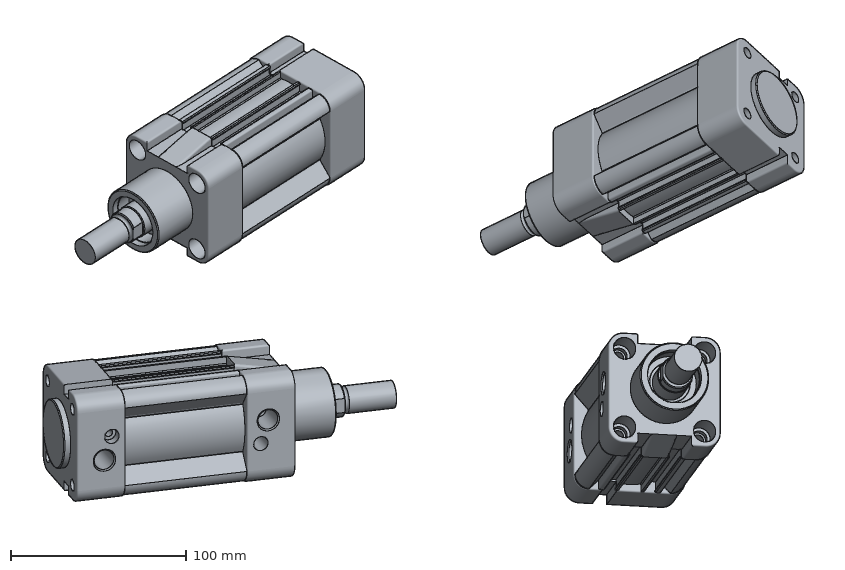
import cadquery as cq


head_size = 65.0
head_length = 28.8
head_corner = 8.7
head_edge_fillet = 1.0
body_length = 130.5
tube_inset = 0.5
tube_front = head_length
tube_rear = body_length - head_length
half_head = head_size / 2
half_tube = half_head - tube_inset
flat_half = half_head - head_corner

collar_radius = 40.0 / 2
front_collar_length = 28.6
rear_collar_length = 4.0
collar_chamfer = 0.6

barrel_radius = 28.0
side_recess_half = 14.6
side_recess_depth = 8.0
side_recess_step_half = 15.5
side_recess_step = 0.5

slot_center = 11.5
slot_mouth = 5.9
slot_width = 7.1
slot_floor = 25.5
slot_lip_bottom = 30.9
slot_mouth_flare = 0.6
rail_inner = 6.7
rail_base_chamfer = 0.8
rail_base_top = 28.0
rail_outer = 18.3
rail_edge_radius = 1.2

pocket_floor = 26.5
pocket_half = 15.6
pocket_edge_radius = 1.2
rear_slot_edge = 7.7
wedge_half = 7.7
wedge_edge_radius = 1.5

screw_spacing = 46.5
screw_offset = screw_spacing / 2
screw_hole_radius = 6.7 / 2
screw_step_radius = 9.1 / 2
screw_step_depth = 20.3
screw_bore_radius = 12.8 / 2
screw_bore_depth = 16.2

port_from_end = 16.2
port_height = 6.5
port_radius = 5.9
port_chamfer = 0.8
needle_from_end = 20.7
needle_height = 7.5
needle_radius = 4.3
needle_screw_depth = 6.0
needle_bore_radius = 2.2

chamber_radius = 12.4
chamber_front = 6.0
chamber_rear = 125.9
mouth_radius = 15.6
mouth_depth = 4.0
recess_radius = 15.2
recess_depth = 13.0
seal_radius = 11.8
seal_depth = 2.0

rod_radius = 10.0
rod_end = tube_rear
rod_shoulder = 29.8
flats_end = 37.5
thread_start = 40.2
rod_tip = 68.5
shank_radius = 9.5
rod_chamfer = 0.6
across_flats = 17.0
neck_radius = 7.0
thread_radius = 16.0 / 2


def cylinder(radius, start, end):
    """Cylinder on the Y axis from Y = start to Y = end."""
    return cq.Workplane("XZ", origin=(0, start, 0)).circle(radius).extrude(start - end)


def prism(points, start, end):
    """XZ outline extruded from Y = start to Y = end."""
    return cq.Workplane("XZ", origin=(0, start, 0)).polyline(points).close().extrude(start - end)


def above_and_below(shape):
    """The shape together with its mirror image below Z = 0."""
    return shape.union(shape.mirror("XY"))


def side_hole(radius, depth, y, z):
    """Blind hole from the -X face of a head."""
    return cq.Workplane("YZ", origin=(-half_head, y, z)).circle(radius).extrude(depth)


def make_head(start):
    head = (
        cq.Workplane("XY")
        .box(head_size, head_length, head_size)
        .translate((0, start + head_length / 2, 0))
        .edges("|Y")
        .fillet(head_corner)
    )
    return head.faces("<Y or >Y").edges().fillet(head_edge_fillet)


def pocket_profile(right, start):
    """Pocket outline from its rounded left edge to a plain wall at X = right."""
    return (
        cq.Workplane("XZ", origin=(0, start, 0))
        .moveTo(right, half_head)
        .lineTo(right, pocket_floor)
        .lineTo(-pocket_half, pocket_floor)
        .lineTo(-pocket_half, half_head - pocket_edge_radius)
        .radiusArc((-pocket_half - pocket_edge_radius, half_head), -pocket_edge_radius)
        .close()
        .extrude(-head_length)
    )


def wedge():
    """Round-edged bar that rises from the pocket floor at Y = 0 to the full head height."""
    height = half_head - pocket_floor
    side_top = half_head - wedge_edge_radius
    top_half = wedge_half - wedge_edge_radius
    outline = (
        cq.Workplane("XZ", origin=(0, head_length, 0))
        .moveTo(-wedge_half, pocket_floor - height)
        .lineTo(-wedge_half, side_top)
        .radiusArc((-top_half, half_head), wedge_edge_radius)
        .lineTo(top_half, half_head)
        .radiusArc((wedge_half, side_top), wedge_edge_radius)
        .lineTo(wedge_half, pocket_floor - height)
        .close()
    )
    bar = cq.Solid.extrudeLinear(outline.val(), [], cq.Vector(0, -head_length, -height))
    return cq.Workplane("XY").add(bar)


def front_head_pocket():
    """Wide pocket that leaves a sloping wedge standing in its middle."""
    left = pocket_profile(0, 0)
    pocket = left.union(left.mirror("YZ")).cut(wedge())
    return above_and_below(pocket)


def rear_head_slot():
    return above_and_below(pocket_profile(-rear_slot_edge, tube_rear))


def side_recess():
    """Flute in the -X side of the tube, with the round barrel as its floor."""
    inner = -half_tube + side_recess_depth
    outline = [
        (-half_tube, flat_half),
        (inner - side_recess_step, side_recess_step_half),
        (inner, side_recess_half),
        (inner, -side_recess_half),
        (inner - side_recess_step, -side_recess_step_half),
        (-half_tube, -flat_half),
    ]
    recess = prism(outline, tube_front, tube_rear)
    return recess.cut(cylinder(barrel_radius, tube_front, tube_rear))


def middle_recess():
    """Flute between the two slot rails, with the round barrel as its floor."""
    half_floor = rail_inner - rail_base_chamfer
    outline = [
        (-half_floor, rail_base_top - rail_base_chamfer),
        (half_floor, rail_base_top - rail_base_chamfer),
        (rail_inner, rail_base_top),
        (rail_inner, half_tube),
        (-rail_inner, half_tube),
        (-rail_inner, rail_base_top),
    ]
    recess = prism(outline, tube_front, tube_rear)
    return recess.cut(cylinder(barrel_radius, tube_front, tube_rear))


def sensor_slot():
    """T-shaped sensor slot with a flared mouth, on the +X half of the top."""
    half_width = slot_width / 2
    half_mouth = slot_mouth / 2
    right_side = [
        (half_width, slot_floor),
        (half_width, slot_lip_bottom),
        (half_mouth, slot_lip_bottom),
        (half_mouth, half_tube - slot_mouth_flare),
        (half_mouth + slot_mouth_flare, half_tube),
    ]
    left_side = [(-x, z) for x, z in reversed(right_side)]
    outline = [(slot_center + x, z) for x, z in right_side + left_side]
    return prism(outline, tube_front, tube_rear)


def outer_flute():
    """Sloping flute outside the sensor slot; it rounds the edge of the slot rail."""
    return (
        cq.Workplane("XZ", origin=(0, tube_front, 0))
        .moveTo(rail_outer - rail_edge_radius, half_tube)
        .radiusArc((rail_outer, half_tube - rail_edge_radius), rail_edge_radius)
        .lineTo(rail_outer, half_tube - (flat_half - rail_outer))
        .lineTo(flat_half, half_tube)
        .close()
        .extrude(tube_front - tube_rear)
    )


def make_tube():
    length = tube_rear - tube_front
    tube = (
        cq.Workplane("XY")
        .box(2 * half_tube, length, 2 * half_tube)
        .translate((0, tube_front + length / 2, 0))
        .edges("|Y")
        .fillet(head_corner - tube_inset)
    )
    recess = side_recess()
    tube = tube.cut(recess).cut(recess.mirror("YZ"))
    tube = tube.cut(above_and_below(middle_recess()))
    for groove in (sensor_slot(), outer_flute()):
        tube = tube.cut(above_and_below(groove))
        tube = tube.cut(above_and_below(groove.mirror("YZ")))
    return tube


def screw_holes():
    """Stepped through holes at the four corners."""
    hole = cylinder(screw_hole_radius, 0, body_length)
    hole = hole.union(cylinder(screw_step_radius, 0, screw_step_depth))
    hole = hole.union(cylinder(screw_bore_radius, 0, screw_bore_depth))
    holes = cq.Workplane("XY")
    for x in (-screw_offset, screw_offset):
        for z in (-screw_offset, screw_offset):
            holes = holes.add(hole.translate((x, 0, z)))
    return holes.combine()


def port(y, z):
    """Air port with a chamfered mouth, running into the chamber."""
    hole = side_hole(port_radius, half_head, y, z)
    mouth = (
        cq.Workplane("YZ", origin=(-half_head, y, z))
        .circle(port_radius + port_chamfer)
        .workplane(offset=port_chamfer)
        .circle(port_radius)
        .loft()
    )
    return hole.union(mouth)


def ports():
    front_needle = side_hole(needle_radius, half_head, needle_from_end, -needle_height)
    rear_needle_y = body_length - needle_from_end
    rear_needle = side_hole(needle_radius, needle_screw_depth, rear_needle_y, needle_height)
    needle_bore = side_hole(needle_bore_radius, half_head, rear_needle_y, needle_height)
    rear_needle = rear_needle.union(needle_bore)
    return (
        port(port_from_end, port_height)
        .union(port(body_length - port_from_end, -port_height))
        .union(front_needle)
        .union(rear_needle)
    )


def bore():
    """Rod gland, seal recesses and the chamber behind them."""
    mouth = -front_collar_length
    floor = mouth + recess_depth
    return (
        cylinder(mouth_radius, mouth, mouth + mouth_depth)
        .union(cylinder(recess_radius, mouth, floor))
        .union(cylinder(seal_radius, mouth, floor + seal_depth))
        .union(cylinder(rod_radius, mouth, chamber_front))
        .union(cylinder(chamber_radius, chamber_front, chamber_rear))
    )


def make_housing():
    front_collar = cylinder(collar_radius, -front_collar_length, head_length)
    front_collar = front_collar.faces("<Y").chamfer(collar_chamfer)
    rear_collar = cylinder(collar_radius, tube_rear, body_length + rear_collar_length)
    rear_collar = rear_collar.faces(">Y").chamfer(collar_chamfer)
    front_head = make_head(0).cut(front_head_pocket())
    rear_head = make_head(tube_rear).cut(rear_head_slot())
    housing = make_tube().union(front_head).union(rear_head)
    housing = housing.union(front_collar).union(rear_collar)
    return housing.cut(screw_holes()).cut(bore()).cut(ports())


def make_rod():
    """Rod with two wrench flats, a round neck groove and a threaded end."""
    groove_middle = -(flats_end + thread_start) / 2
    rod = (
        cq.Workplane("XY")
        .moveTo(0, rod_end)
        .lineTo(rod_radius, rod_end)
        .lineTo(rod_radius, -rod_shoulder + rod_chamfer)
        .lineTo(shank_radius, -rod_shoulder)
        .lineTo(shank_radius, -flats_end + rod_chamfer)
        .lineTo(shank_radius - rod_chamfer, -flats_end)
        .lineTo(thread_radius, -flats_end)
        .threePointArc((neck_radius, groove_middle), (thread_radius, -thread_start))
        .lineTo(thread_radius, -rod_tip)
        .lineTo(0, -rod_tip)
        .close()
        .revolve(360, (0, 0, 0), (0, 1, 0))
    )
    flats_length = flats_end - rod_shoulder
    blank = cq.Workplane("XY").box(2 * rod_radius, flats_length, 2 * rod_radius)
    keep = cq.Workplane("XY").box(across_flats, flats_length, 2 * rod_radius)
    flats = blank.cut(keep).translate((0, -(rod_shoulder + flats_end) / 2, 0))
    return rod.cut(flats)


housing = make_housing()
rod = make_rod()
result = cq.Compound.makeCompound([housing.solids().val(), rod.solids().val()])